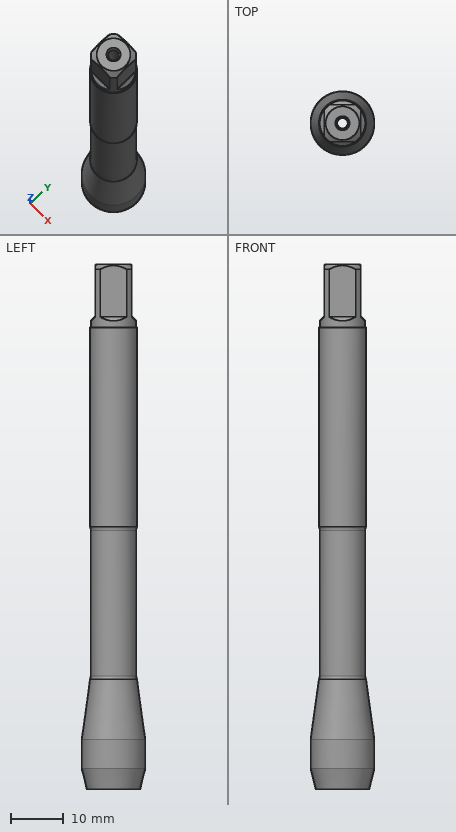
import cadquery as cq
import math

total_length = 100.0
lead_height = 4.0
thread_top = 9.5
neck_bottom = 21.0
neck_top = 50.0
square_start = 88.0
square_length = 10.0
shoulder_height = 0.1

tip_diameter = 10.2
thread_diameter = 12.18
neck_diameter = 8.7
shank_diameter = 9.0
drive_diameter = 8.64
bore_diameter = 2.0

neck_arc_radius = 1.5

square_width = 7.0
flat_runout_drop = 1.0
end_face_diameter = 6.4
end_chamfer_height = 1.0

bore_mouth_diameter = 2.7
bore_mouth_depth = 0.6


def turned_body(outline):
    """Revolve (diameter, height) points, closed on the axis, about Z."""
    bottom = outline[0][1]
    top = outline[-1][1]
    points = [(0, bottom)] + [(diameter / 2, height) for diameter, height in outline] + [(0, top)]
    return cq.Workplane("XZ").polyline(points).close().revolve(360, (0, 0), (0, 1))


def coolant_bore():
    """Through bore with a countersunk mouth at the drive end."""
    return turned_body([
        (bore_diameter, 0),
        (bore_diameter, total_length - bore_mouth_depth),
        (bore_mouth_diameter, total_length),
    ])


def neck_blank():
    """Neck with a hollow arc at each end, tangent to the neck, rising to the shank diameter."""
    neck_radius = neck_diameter / 2
    end_radius = shank_diameter / 2
    rise = end_radius - neck_radius
    arc_angle = math.acos(1 - rise / neck_arc_radius)
    arc_length = neck_arc_radius * math.sin(arc_angle)
    middle_radius = neck_radius + neck_arc_radius * (1 - math.cos(arc_angle / 2))
    middle_length = neck_arc_radius * math.sin(arc_angle / 2)

    lower_tangent = neck_bottom + arc_length
    upper_tangent = neck_top - arc_length
    return (
        cq.Workplane("XZ")
        .moveTo(0, neck_bottom)
        .lineTo(end_radius, neck_bottom)
        .threePointArc((middle_radius, lower_tangent - middle_length), (neck_radius, lower_tangent))
        .lineTo(neck_radius, upper_tangent)
        .threePointArc((middle_radius, upper_tangent + middle_length), (end_radius, neck_top))
        .lineTo(0, neck_top)
        .close()
        .revolve(360, (0, 0), (0, 1))
    )


def drive_flat_cutter(angle):
    """Block that leaves one drive flat, with a floor sloping down outwards."""
    inner = square_width / 2
    outer = shank_diameter / 2
    floor = total_length - square_length
    profile = [
        (inner, floor),
        (outer, floor - flat_runout_drop),
        (outer, total_length),
        (inner, total_length),
    ]
    block = cq.Workplane("XZ").polyline(profile).close().extrude(outer, both=True)
    return block.rotate((0, 0, 0), (0, 0, 1), angle)


def make_shank():
    """Neck, plain shank and square drive in one piece."""
    shank = turned_body([
        (shank_diameter, neck_top),
        (shank_diameter, square_start - shoulder_height),
        (drive_diameter, square_start),
        (drive_diameter, total_length - end_chamfer_height),
        (end_face_diameter, total_length),
    ])
    shank = shank.union(neck_blank())
    for angle in (0, 90, 180, 270):
        shank = shank.cut(drive_flat_cutter(angle))
    return shank.cut(coolant_bore())


def make_thread_head():
    """Tapered lead, full-diameter land and the cone up to the neck."""
    head = turned_body([
        (tip_diameter, 0),
        (thread_diameter, lead_height),
        (thread_diameter, thread_top),
        (shank_diameter, neck_bottom),
    ])
    return head.cut(coolant_bore())


shank = make_shank()
thread_head = make_thread_head()

result = cq.Compound.makeCompound([shank.val(), thread_head.val()])